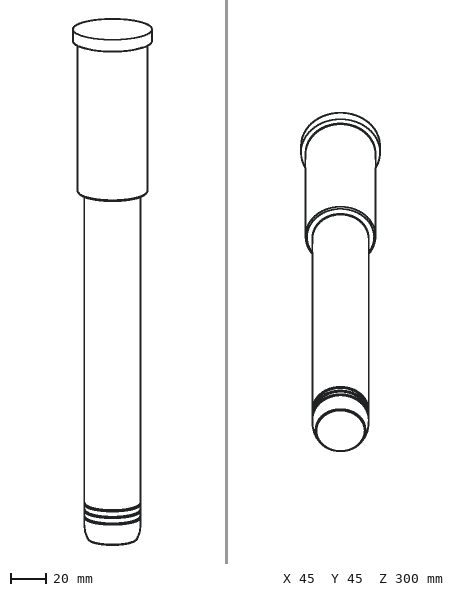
import cadquery as cq

total_length = 300.0
head_diameter = 45.0
head_thickness = 7.0
barrel_diameter = 40.0
barrel_chamfer = 1.0
stem_diameter = 32.0
stem_length = 204.0

tip_diameter = 28.5
tip_length = 8.0
tip_chamfer = 0.5

groove_width = 1.0
groove_depth = 0.3
stem_groove_count = 3
stem_groove_pitch = 4.0
first_stem_groove_bottom = 12.5

stem_radius = stem_diameter / 2
tip_radius = tip_diameter / 2
barrel_radius = barrel_diameter / 2
head_radius = head_diameter / 2
head_bottom = total_length - head_thickness


def turned_body():
    """Stem with rounded tip, chamfered barrel and flat head, revolved from one half profile."""
    profile = (
        cq.Workplane("XZ")
        .moveTo(0, total_length)
        .lineTo(head_radius, total_length)
        .lineTo(head_radius, head_bottom)
        .lineTo(barrel_radius, head_bottom)
        .lineTo(barrel_radius, stem_length + barrel_chamfer)
        .lineTo(barrel_radius - barrel_chamfer, stem_length)
        .lineTo(stem_radius, stem_length)
        .lineTo(stem_radius, tip_length)
        .tangentArcPoint((tip_radius, tip_chamfer), relative=False)
        .lineTo(tip_radius - tip_chamfer, 0)
        .lineTo(0, 0)
        .close()
    )
    return profile.revolve(360, (0, 0, 0), (0, 1, 0))


def groove_ring(radius, bottom):
    """Ring of material removed by a groove in a round face of the given radius."""
    return (
        cq.Workplane("XY", origin=(0, 0, bottom))
        .circle(radius)
        .circle(radius - groove_depth)
        .extrude(groove_width)
    )


result = turned_body()

for index in range(stem_groove_count):
    groove_bottom = first_stem_groove_bottom + index * stem_groove_pitch
    result = result.cut(groove_ring(stem_radius, groove_bottom))

result = result.cut(groove_ring(stem_radius, stem_length - groove_width))
result = result.cut(groove_ring(barrel_radius, head_bottom - groove_width))